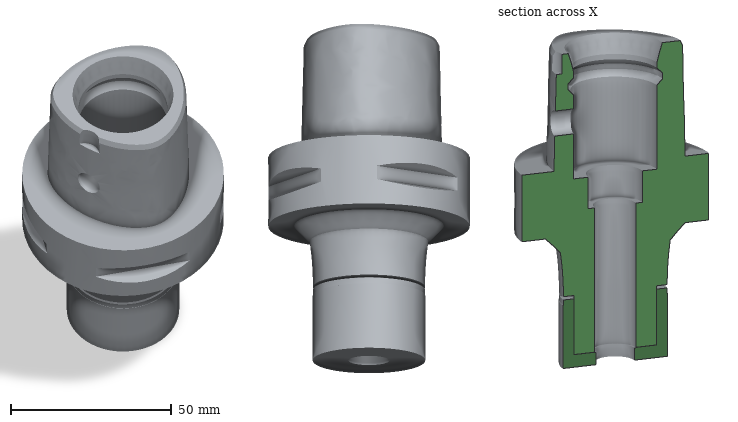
import cadquery as cq
import math

nut_radius = 17.6
nut_height = 22.6
nut_collar_radius = 17.5
nut_collar_height = 1.9
nut_lip = 4.1
nut_opening_radius = 6.4

stem_radius = 13.9
gap_height = 0.9
neck_bottom_radius = 17.5
neck_top_radius = 18.5
neck_top_z = 38.0
cone_top_radius = 23.5
flange_radius = 31.5
flange_bottom_z = 43.1
flange_top_z = 65.0
neck_bottom_z = nut_height + gap_height

notch_count = 4
notch_start_angle = 45.0
notch_floor_distance = 27.7
notch_floor_height = 4.2
notch_mouth_height = 7.7
notch_center_z = 53.0

top_z = 103.0
shank_base_radius = 22.1
lobe_height = 1.4
taper = 1 / 40
lead_in_height = 1.6
lead_in_width = 0.8
outline_points = 48
lead_in_z = top_z - lead_in_height
shank_end_radius = shank_base_radius - taper * (lead_in_z - flange_top_z)

key_radius = 4.6
key_center_y = -22.6
key_floor_z = 96.6
side_hole_radius = 4.0
side_hole_z = 80.5

bore_radius = 13.9
bore_mouth_radius = 15.8
mouth_depth = 6.4
groove_radius = 15.9
groove_top_depth = 8.1
groove_bottom_depth = 13.8
bore_floor_z = 61.8
counterbore_radius = 9.1
counterbore_floor_z = 51.5
through_radius = 6.9


def lobed_wire(mean_radius, z):
    """Three-lobed outline of constant width, with one lobe toward +Y."""
    points = []
    for i in range(outline_points):
        angle = 2 * math.pi * i / outline_points
        phase = 3 * (angle - math.pi / 2)
        reach = mean_radius + lobe_height * math.cos(phase)
        slope = -3 * lobe_height * math.sin(phase)
        x = reach * math.cos(angle) - slope * math.sin(angle)
        y = reach * math.sin(angle) + slope * math.cos(angle)
        points.append(cq.Vector(x, y, z))
    return cq.Wire.assembleEdges([cq.Edge.makeSpline(points, periodic=True)])


def make_shank():
    base = lobed_wire(shank_base_radius, flange_top_z)
    shoulder = lobed_wire(shank_end_radius, lead_in_z)
    tip = lobed_wire(shank_end_radius - lead_in_width, top_z)
    body = cq.Workplane(cq.Solid.makeLoft([base, shoulder], True))
    lead_in = cq.Workplane(cq.Solid.makeLoft([shoulder, tip], True))
    return body.union(lead_in)


def make_round_body():
    """Stem, concave neck, cone and flange, turned about Z."""
    rise = neck_top_z - neck_bottom_z
    flare = neck_top_radius - neck_bottom_radius
    arc_radius = (rise ** 2 + flare ** 2) / (2 * flare)
    half_angle = math.asin(rise / arc_radius) / 2
    arc_middle = (
        neck_bottom_radius + arc_radius * (1 - math.cos(half_angle)),
        neck_bottom_z + arc_radius * math.sin(half_angle),
    )
    return (
        cq.Workplane("XZ")
        .moveTo(0, nut_lip)
        .lineTo(stem_radius, nut_lip)
        .lineTo(stem_radius, neck_bottom_z)
        .lineTo(neck_bottom_radius, neck_bottom_z)
        .threePointArc(arc_middle, (neck_top_radius, neck_top_z))
        .lineTo(cone_top_radius, flange_bottom_z)
        .lineTo(flange_radius, flange_bottom_z)
        .lineTo(flange_radius, flange_top_z)
        .lineTo(0, flange_top_z)
        .close()
        .revolve(360, (0, 0, 0), (0, 1, 0))
    )


def make_bore():
    """Stepped bore with a tapered mouth and an internal 45 degree groove."""
    flank = groove_radius - bore_radius
    return (
        cq.Workplane("XZ")
        .moveTo(0, top_z)
        .lineTo(bore_mouth_radius, top_z)
        .lineTo(bore_radius, top_z - mouth_depth)
        .lineTo(bore_radius, top_z - groove_top_depth)
        .lineTo(groove_radius, top_z - groove_top_depth - flank)
        .lineTo(groove_radius, top_z - groove_bottom_depth + flank)
        .lineTo(bore_radius, top_z - groove_bottom_depth)
        .lineTo(bore_radius, bore_floor_z)
        .lineTo(counterbore_radius, bore_floor_z)
        .lineTo(counterbore_radius, counterbore_floor_z)
        .lineTo(through_radius, counterbore_floor_z)
        .lineTo(through_radius, nut_lip)
        .lineTo(0, nut_lip)
        .close()
        .revolve(360, (0, 0, 0), (0, 1, 0))
    )


def make_notch(angle):
    """Cutter for a flat-floored notch whose flanks open outward."""
    half_floor = notch_floor_height / 2
    half_mouth = notch_mouth_height / 2
    return (
        cq.Workplane("XZ")
        .moveTo(notch_floor_distance, notch_center_z - half_floor)
        .lineTo(flange_radius, notch_center_z - half_mouth)
        .lineTo(flange_radius, notch_center_z + half_mouth)
        .lineTo(notch_floor_distance, notch_center_z + half_floor)
        .close()
        .extrude(flange_radius, both=True)
        .rotate((0, 0, 0), (0, 0, 1), angle)
    )


def make_key_slot():
    return (
        cq.Workplane("XY", origin=(0, key_center_y, key_floor_z))
        .circle(key_radius)
        .extrude(top_z - key_floor_z)
    )


def make_side_hole():
    """Radial hole from the -Y side into the bore."""
    return (
        cq.Workplane("XZ", origin=(0, 0, side_hole_z))
        .circle(side_hole_radius)
        .extrude(flange_radius)
    )


def make_holder():
    holder = make_round_body().union(make_shank())
    holder = holder.cut(make_bore()).cut(make_key_slot()).cut(make_side_hole())
    for i in range(notch_count):
        holder = holder.cut(make_notch(notch_start_angle + i * 360 / notch_count))
    return holder


def make_nut():
    """Cup-shaped nut with a slimmer collar, a stem recess and an opening in its end lip."""
    barrel = cq.Workplane("XY").circle(nut_radius).extrude(nut_height - nut_collar_height)
    collar = barrel.faces(">Z").workplane().circle(nut_collar_radius).extrude(nut_collar_height)
    opening = cq.Workplane("XY").circle(nut_opening_radius).extrude(nut_lip)
    recess = cq.Workplane("XY").workplane(offset=nut_lip).circle(stem_radius).extrude(nut_height - nut_lip)
    return collar.cut(opening).cut(recess)


holder = make_holder()
nut = make_nut()
result = cq.Compound.makeCompound([holder.solids().val(), nut.solids().val()])